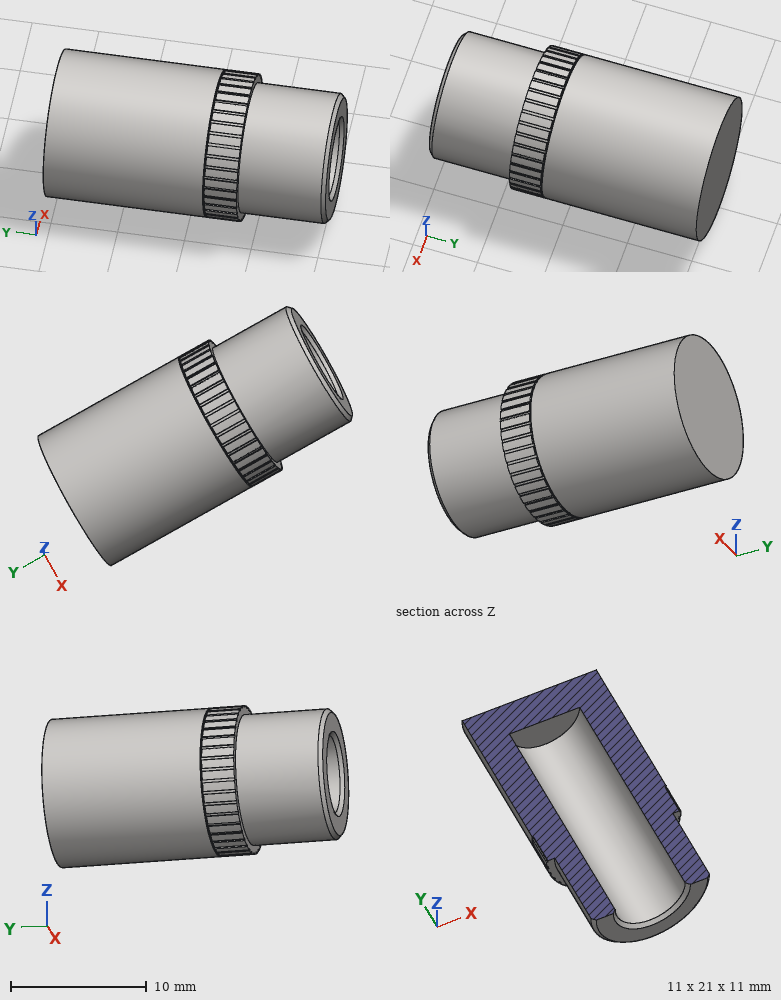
import cadquery as cq

length = 21.0
body_radius = 5.5
nose_radius = 4.85
nose_length = 6.5
edge_chamfer = 0.3

bore_radius = 2.85
end_wall = body_radius - bore_radius
bore_depth = length - end_wall

band_length = 2.55
ring_groove_depth = 0.06
knurl_count = 40
knurl_width = 0.2
knurl_depth = 0.1

front_y = -length / 2
shoulder_y = front_y + nose_length
ring_groove_y = shoulder_y + band_length - ring_groove_depth


def cylinder(radius, start_y, height):
    """Solid cylinder on the Y axis, growing toward +Y from start_y."""
    base = cq.Workplane("XZ", origin=(0, start_y, 0))
    return base.circle(radius).extrude(-height)


def make_sleeve():
    """Stepped sleeve with a chamfered nose and a chamfered blind bore."""
    nose = cylinder(nose_radius, front_y, nose_length)
    body = cylinder(body_radius, shoulder_y, length - nose_length)
    bore = cylinder(bore_radius, front_y, bore_depth)
    return nose.union(body).cut(bore).faces("<Y").edges().chamfer(edge_chamfer)


def make_ring_groove():
    """Ring with a 90-degree V section that separates the knurl from the body."""
    section = [
        (body_radius - ring_groove_depth, ring_groove_y),
        (body_radius + ring_groove_depth, ring_groove_y + 2 * ring_groove_depth),
        (body_radius + ring_groove_depth, ring_groove_y - 2 * ring_groove_depth),
    ]
    return cq.Workplane("XY").polyline(section).close().revolve(360, (0, 0, 0), (0, 1, 0))


def make_knurl_grooves():
    """Straight grooves along Y, from the shoulder to the middle of the ring groove."""
    groove_length = ring_groove_y - shoulder_y
    return (
        cq.Workplane("XZ", origin=(0, shoulder_y, 0))
        .polarArray(body_radius, 0, 360, knurl_count)
        .rect(2 * knurl_depth, knurl_width)
        .extrude(-groove_length)
    )


result = make_sleeve().cut(make_ring_groove()).cut(make_knurl_grooves())